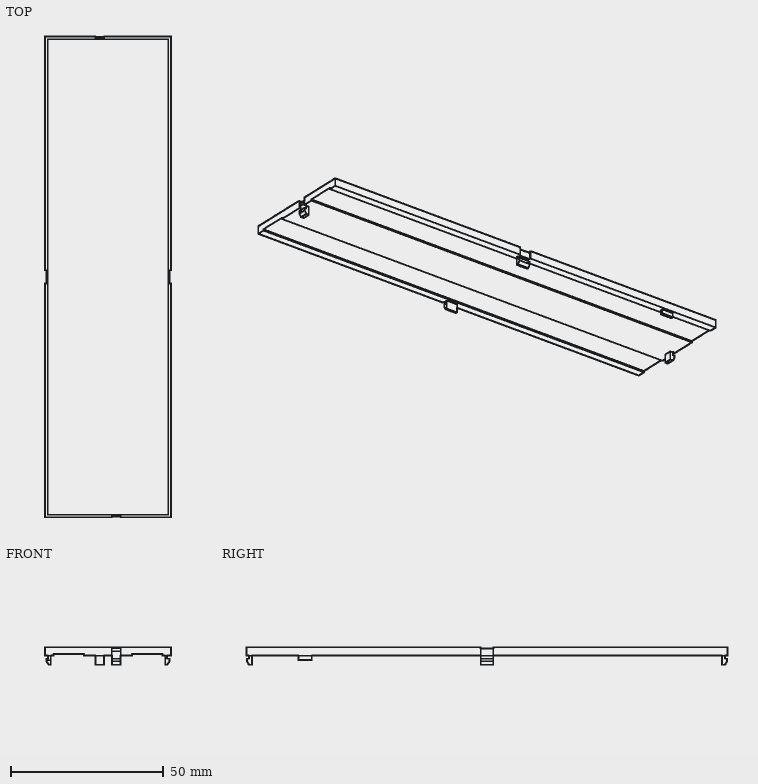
import cadquery as cq

width = 41.5
length = 158.2
height = 5.9
wall_height = 2.8

rim_width = 1.0
rim_rise = 0.5
panel_thickness = 1.0

groove_inner_x = 7.9
groove_outer_x = 17.9
groove_depth = 0.5

side_clip_width = 4.3
end_clip_width = 2.8
end_clip_offset = 2.7
clip_inner_inset = 1.9
side_shank_inset = 1.3
end_shank_inset = 0.8
side_hook_inset = 0.5
end_hook_inset = 0.2
side_notch_depth = side_hook_inset
end_notch_depth = end_shank_inset
hook_top_z = -3.8
hook_bottom_z = -4.7

tab_y = -59.8
tab_length = 4.5
tab_drop = 1.5
tab_thickness = 1.0

side_clip = dict(
    edge=width / 2,
    shift=0,
    clip_width=side_clip_width,
    shank_inset=side_shank_inset,
    hook_inset=side_hook_inset,
)
end_clip = dict(
    edge=length / 2,
    shift=end_clip_offset,
    clip_width=end_clip_width,
    shank_inset=end_shank_inset,
    hook_inset=end_hook_inset,
)

clips = [
    (0, side_clip, side_notch_depth),
    (90, end_clip, end_notch_depth),
    (180, side_clip, side_notch_depth),
    (270, end_clip, end_notch_depth),
]


def box(size_x, size_y, size_z, x, y, top_z):
    """Box centred on x and y, hanging down from top_z."""
    return cq.Workplane().box(size_x, size_y, size_z, centered=(True, True, False)).translate(
        (x, y, top_z - size_z)
    )


def make_panel():
    """Flat plate lying inside the rim."""
    return box(width - 2 * rim_width, length - 2 * rim_width, panel_thickness, 0, 0, -rim_rise)


def make_clip(edge, shift, clip_width, shank_inset, hook_inset):
    """Shank with an outward hook, at the +X side."""
    outer = edge - shank_inset
    inner = edge - clip_inner_inset
    tip = edge - hook_inset
    profile = [
        (inner, -wall_height),
        (outer, -wall_height),
        (outer, hook_top_z),
        (tip, hook_top_z),
        (tip, hook_bottom_z),
        (outer, -height),
        (inner, -height),
    ]
    return (
        cq.Workplane("XZ", origin=(0, shift, 0))
        .polyline(profile)
        .close()
        .extrude(clip_width / 2, both=True)
    )


def cut_clip_notch(cover, turn, edge, shift, clip_width, depth):
    """Recess the wall face above a clip and lower the rim there to the panel."""
    face_notch = box(2 * depth, clip_width, wall_height, edge, shift, 0)
    rim_notch = box(2 * rim_width, clip_width, rim_rise, edge, shift, 0)
    for notch in (face_notch, rim_notch):
        cover = cover.cut(notch.rotate((0, 0, 0), (0, 0, 1), turn))
    return cover


def make_cover():
    """Tray with a panel recess, underside grooves, four snap clips and a locating tab."""
    cover = box(width, length, wall_height, 0, 0, 0)

    panel_recess = box(
        width - 2 * rim_width, length - 2 * rim_width, rim_rise + panel_thickness, 0, 0, 0
    )
    cover = cover.cut(panel_recess)

    groove_width = groove_outer_x - groove_inner_x
    groove_x = (groove_outer_x + groove_inner_x) / 2
    for side in (-1, 1):
        groove_top = groove_depth - wall_height
        cover = cover.cut(box(groove_width, length, groove_depth, side * groove_x, 0, groove_top))

    for turn, clip_sizes, notch_depth in clips:
        cover = cut_clip_notch(
            cover,
            turn,
            clip_sizes["edge"],
            clip_sizes["shift"],
            clip_sizes["clip_width"],
            notch_depth,
        )
        clip = make_clip(**clip_sizes)
        cover = cover.union(clip.rotate((0, 0, 0), (0, 0, 1), turn))

    tab_x = -width / 2 + clip_inner_inset - tab_thickness / 2
    return cover.union(box(tab_thickness, tab_length, tab_drop, tab_x, tab_y, -wall_height))


cover = make_cover()
panel = make_panel()
result = cq.Compound.makeCompound([cover.val(), panel.val()])